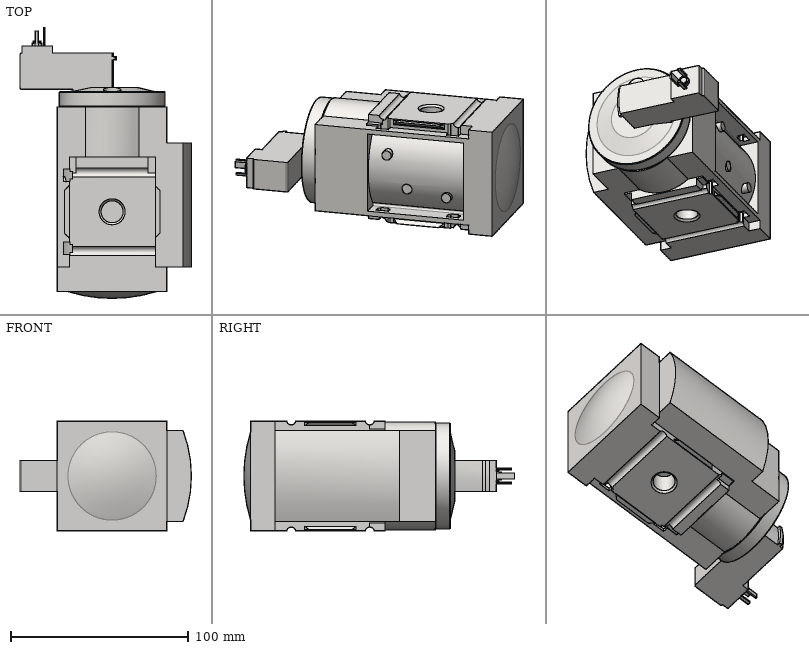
import cadquery as cq
import math


SQUARE_HALF = 30.96
CORE_HALF_Z = 25.7
END_BLOCK_LENGTH = 13.9
PLATE_END = 76.0
COVER_END = 84.0
CORE_END = 104.3

PLATE_LEFT = -24.0
PLATE_RIGHT = 24.5
NOTCH_INNER_X = 20.3
NOTCH_START = 67.1
NOTCH_FLOOR_Z = 26.6
GROOVE_DIAMETER = 5.0
GROOVE_CENTRES = (23.0, 67.3)
GROOVE_AXIS_RISE = 0.5

TONGUE_CENTRE = 45.1
TONGUE_HALF_INNER = 15.0
TONGUE_HALF_OUTER = 12.1
TONGUE_OUTER_X = 26.9
TONGUE_INNER_X = 24.0
TONGUE_TOP_Z = 30.3
TONGUE_HEEL_X = 24.3
TONGUE_HEEL_Z = 28.3
TONGUE_BOTTOM_Z = 27.5

PORT_DIAMETER = 12.4
PORT_MOUTH = 14.7
PORT_DEPTH = 15.3

SLOT_CENTRES = (24.5, 65.7)
SLOT_WIDTH = 7.2
SLOT_OUTER_X = -27.5
SLOT_STEP_X = -23.9
SLOT_TIP_WIDTH = 4.5
SLOT_TIP_X = -22.5
SLOT_DEEP_Z = 21.4

WINDOW_START = 17.0
WINDOW_END = 73.4
WINDOW_HALF_Z = 23.0
DRUM_RADIUS = 29.5
DRUM_HALF_Z = 21.1
DRUM_ROOT_X = -15.3
PINS = (
    (62.4, 11.0, 5.5, -30.5),
    (50.9, -8.4, 5.8, -28.6),
    (27.4, -11.0, 5.5, -30.5),
)

COVER_EDGE_X = 40.0
COVER_CROWN_X = 44.8

NECK_CROWN_Z = 30.5
NECK_HALF_WIDTH = 15.06
KNOB_DIAMETER = 60.0
KNOB_END = 112.8
KNOB_CHAMFER = 0.5
DOME_RADIUS = 24.9
DOME_HEIGHT = 3.8
CONE_BASE_RADIUS = 24.5
CONE_TOP_RADIUS = 14.4
CONE_END = 115.3
KNOB_HOLE_DIAMETER = 10.0
KNOB_HOLE_Z = 19.3

COIL_HALF_Z = 8.79
COIL_LEFT = -52.0
COIL_SPLIT = -22.2
COIL_RIGHT = 0.0
COIL_CROWN_X = 0.8
COIL_FRONT = 114.2
COIL_BACK = 134.7
COIL_CORNER = 0.9
CAP_LEFT = -50.9
CAP_RIGHT = -33.6
CAP_BACK = 138.7
RIDGE_HEIGHT = 1.7
RIDGE_START = 130.9
RIDGE_END = 132.7

REAR_END = 149.1
SIDE_PIN_END = 147.2
SIDE_PIN_X = (-43.5, -41.6)
SIDE_PIN_Z = 4.0
SIDE_PIN_THICKNESS = 1.0
EARTH_PIN_X = (-38.8, -37.9)
EARTH_PIN_HALF_Z = 1.76
SCREW_X = -42.4
SCREW_STEPS = ((5.5, 138.7, 140.2), (3.8, 140.2, 141.0), (4.6, 141.0, 141.6))


def block(x, y, z):
    """Box given by its (low, high) limits along each axis."""
    corner = (x[0], y[0], z[0])
    return cq.Workplane("XY").box(x[1] - x[0], y[1] - y[0], z[1] - z[0], centered=False).translate(corner)


def cylinder_x(diameter, x_start, x_end, y, z):
    circle = cq.Workplane("YZ", origin=(x_start, y, z)).circle(diameter / 2)
    return circle.extrude(x_end - x_start)


def cylinder_y(diameter, y_start, y_end, x=0, z=0):
    circle = cq.Workplane("XZ", origin=(x, y_start, z)).circle(diameter / 2)
    return circle.extrude(y_start - y_end)


def both_sides(shape):
    """A top feature together with its mirror image on the bottom."""
    return shape.union(shape.mirror("XY"))


def front_dome():
    """Spherical cap on the body axis, rising from the end block towards -Y."""
    sphere_radius = (DOME_RADIUS**2 + DOME_HEIGHT**2) / (2 * DOME_HEIGHT)
    half_angle = math.asin(DOME_RADIUS / sphere_radius) / 2
    middle_x = sphere_radius * math.sin(half_angle)
    middle_y = sphere_radius * (1 - math.cos(half_angle)) - DOME_HEIGHT
    profile = (
        cq.Workplane("XY")
        .lineTo(DOME_RADIUS, 0)
        .threePointArc((middle_x, middle_y), (0, -DOME_HEIGHT))
        .close()
    )
    return profile.revolve(360, (0, 0, 0), (0, 1, 0))


def tongues():
    """Dovetail tongues with splayed ends, one on each side of the top plate."""
    section = cq.Workplane("XZ").polyline([
        (0, TONGUE_TOP_Z),
        (TONGUE_OUTER_X, TONGUE_TOP_Z),
        (TONGUE_HEEL_X, TONGUE_HEEL_Z),
        (TONGUE_INNER_X, TONGUE_BOTTOM_Z),
        (0, TONGUE_BOTTOM_Z),
    ]).close().extrude(TONGUE_HALF_INNER, both=True)
    outline = cq.Workplane("XY").polyline([
        (0, -TONGUE_HALF_INNER),
        (TONGUE_INNER_X, -TONGUE_HALF_INNER),
        (TONGUE_OUTER_X, -TONGUE_HALF_OUTER),
        (TONGUE_OUTER_X, TONGUE_HALF_OUTER),
        (TONGUE_INNER_X, TONGUE_HALF_INNER),
        (0, TONGUE_HALF_INNER),
    ]).close().extrude(SQUARE_HALF)
    right = section.intersect(outline)
    return right.union(right.mirror("YZ")).translate((0, TONGUE_CENTRE, 0))


def top_plate():
    plate = block((PLATE_LEFT, PLATE_RIGHT), (0, PLATE_END), (0, SQUARE_HALF))
    for x in ((PLATE_LEFT, -NOTCH_INNER_X), (NOTCH_INNER_X, PLATE_RIGHT)):
        plate = plate.cut(block(x, (NOTCH_START, PLATE_END), (NOTCH_FLOOR_Z, SQUARE_HALF)))
    for y in GROOVE_CENTRES:
        groove_z = SQUARE_HALF + GROOVE_AXIS_RISE
        plate = plate.cut(cylinder_x(GROOVE_DIAMETER, PLATE_LEFT, PLATE_RIGHT, y, groove_z))
    return plate.union(tongues())


def port():
    chamfer = (PORT_MOUTH - PORT_DIAMETER) / 2
    face = cq.Workplane("XY", origin=(0, TONGUE_CENTRE, SQUARE_HALF))
    bore = face.circle(PORT_DIAMETER / 2).extrude(-PORT_DEPTH)
    mouth = face.circle(PORT_MOUTH / 2).extrude(-chamfer, taper=45)
    return bore.union(mouth)


def slots():
    cutter = cq.Workplane("XY")
    height = (SLOT_DEEP_Z, SQUARE_HALF)
    for y in SLOT_CENTRES:
        wide = (y - SLOT_WIDTH / 2, y + SLOT_WIDTH / 2)
        narrow = (y - SLOT_TIP_WIDTH / 2, y + SLOT_TIP_WIDTH / 2)
        cutter = cutter.union(block((SLOT_OUTER_X, SLOT_STEP_X), wide, height))
        cutter = cutter.union(block((SLOT_STEP_X, SLOT_TIP_X), narrow, height))
    return cutter


def window():
    """Side opening that ends on the drum, with a small round groove along its floor and roof."""
    drum_edge_x = -math.sqrt(DRUM_RADIUS**2 - DRUM_HALF_Z**2)
    opening = block(
        (-SQUARE_HALF, drum_edge_x), (WINDOW_START, WINDOW_END), (-WINDOW_HALF_Z, WINDOW_HALF_Z)
    )
    groove_z = (DRUM_HALF_Z + WINDOW_HALF_Z) / 2
    groove = cylinder_y(WINDOW_HALF_Z - DRUM_HALF_Z, WINDOW_START, WINDOW_END, drum_edge_x, groove_z)
    return opening.union(both_sides(groove))


def drum():
    limits = block((-SQUARE_HALF, DRUM_ROOT_X), (WINDOW_START, WINDOW_END), (-DRUM_HALF_Z, DRUM_HALF_Z))
    barrel = cylinder_y(2 * DRUM_RADIUS, WINDOW_START, WINDOW_END).intersect(limits)
    for y, z, diameter, face_x in PINS:
        barrel = barrel.cut(cylinder_x(diameter, -SQUARE_HALF, face_x, y, z))
        barrel = barrel.union(cylinder_x(diameter, face_x, DRUM_ROOT_X, y, z))
    return barrel


def side_cover():
    outline = (
        cq.Workplane("XZ", origin=(0, END_BLOCK_LENGTH, 0))
        .moveTo(0, -CORE_HALF_Z)
        .lineTo(COVER_EDGE_X, -CORE_HALF_Z)
        .threePointArc((COVER_CROWN_X, 0), (COVER_EDGE_X, CORE_HALF_Z))
        .lineTo(0, CORE_HALF_Z)
        .close()
    )
    return outline.extrude(END_BLOCK_LENGTH - COVER_END)


def neck_crown():
    outline = (
        cq.Workplane("XZ", origin=(0, PLATE_END, 0))
        .moveTo(-NECK_HALF_WIDTH, 0)
        .lineTo(-NECK_HALF_WIDTH, CORE_HALF_Z)
        .threePointArc((0, NECK_CROWN_Z), (NECK_HALF_WIDTH, CORE_HALF_Z))
        .lineTo(NECK_HALF_WIDTH, 0)
        .close()
    )
    return outline.extrude(PLATE_END - CORE_END)


def knob():
    """Round disc with a conical cap and one blind hole in the cone."""
    disc = cylinder_y(KNOB_DIAMETER, CORE_END, KNOB_END).edges().chamfer(KNOB_CHAMFER)
    cone = cq.Workplane("XY").polyline([
        (0, CORE_END),
        (CONE_BASE_RADIUS, CORE_END),
        (CONE_BASE_RADIUS, KNOB_END),
        (CONE_TOP_RADIUS, CONE_END),
        (0, CONE_END),
    ]).close().revolve(360, (0, 0, 0), (0, 1, 0))
    hole = cylinder_y(KNOB_HOLE_DIAMETER, KNOB_END, CONE_END, 0, KNOB_HOLE_Z)
    return disc.union(cone).cut(hole)


def bowed_coil(height, y_start, y_end):
    """Right part of the coil, with its bowed end raised by the given height."""
    outline = (
        cq.Workplane("XZ", origin=(0, y_start, 0))
        .moveTo(COIL_SPLIT, -COIL_HALF_Z)
        .lineTo(COIL_RIGHT + height, -COIL_HALF_Z)
        .threePointArc((COIL_CROWN_X + height, 0), (COIL_RIGHT + height, COIL_HALF_Z))
        .lineTo(COIL_SPLIT, COIL_HALF_Z)
        .close()
    )
    return outline.extrude(y_start - y_end)


def coil():
    z = (-COIL_HALF_Z, COIL_HALF_Z)
    left = block((COIL_LEFT, COIL_SPLIT), (COIL_FRONT, COIL_BACK), z)
    left = left.edges("|Z and <X").fillet(COIL_CORNER)
    right = bowed_coil(0, KNOB_END, COIL_BACK)
    ridge = bowed_coil(RIDGE_HEIGHT, RIDGE_START, RIDGE_END)
    cap = block((CAP_LEFT, CAP_RIGHT), (COIL_BACK - COIL_CORNER, CAP_BACK), z)
    return left.union(right).union(ridge).union(cap)


def contacts():
    earth = block(EARTH_PIN_X, (COIL_BACK, REAR_END), (-EARTH_PIN_HALF_Z, EARTH_PIN_HALF_Z))
    side_z = (SIDE_PIN_Z - SIDE_PIN_THICKNESS / 2, SIDE_PIN_Z + SIDE_PIN_THICKNESS / 2)
    pins = earth.union(both_sides(block(SIDE_PIN_X, (COIL_BACK, SIDE_PIN_END), side_z)))
    for diameter, y_start, y_end in SCREW_STEPS:
        pins = pins.union(cylinder_y(diameter, y_start, y_end, SCREW_X))
    return pins


square = (-SQUARE_HALF, SQUARE_HALF)
body = block(square, (0, END_BLOCK_LENGTH), square)
body = body.union(block(square, (0, CORE_END), (-CORE_HALF_Z, CORE_HALF_Z)))
body = body.union(side_cover())
body = body.union(both_sides(neck_crown()))
body = body.union(both_sides(top_plate()))
body = body.cut(both_sides(port()))
body = body.cut(window()).cut(both_sides(slots()))
body = body.union(drum())
body = body.union(front_dome()).union(knob())
result = body.union(coil()).union(contacts())